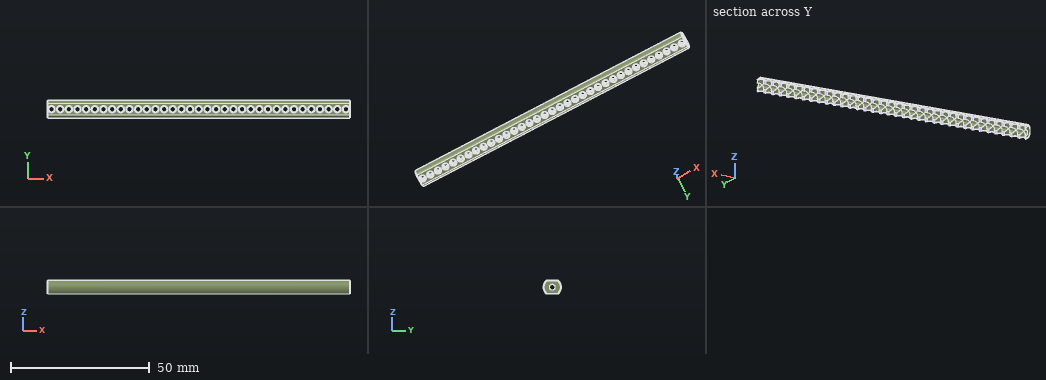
import cadquery as cq
import math

length = 109.4
bar_diameter = 6.6
flat_height = 5.0
end_chamfer = 0.3

hole_diameter = 2.0
hole_count = 35
hole_pitch = length / hole_count
hole_chamfer = 0.3


def flatted_bar():
    """Bar along X with round sides and top and bottom flats, both end outlines chamfered."""
    radius = bar_diameter / 2
    half_height = flat_height / 2
    flat_half_width = math.sqrt(radius**2 - half_height**2)
    profile = (
        cq.Workplane("YZ")
        .moveTo(-flat_half_width, -half_height)
        .lineTo(flat_half_width, -half_height)
        .threePointArc((radius, 0), (flat_half_width, half_height))
        .lineTo(-flat_half_width, half_height)
        .threePointArc((-radius, 0), (-flat_half_width, -half_height))
        .close()
    )
    return profile.extrude(length).faces("<X or >X").chamfer(end_chamfer)


def axial_bore():
    """Bore through the full length of the bar."""
    return cq.Workplane("YZ").circle(hole_diameter / 2).extrude(length)


def cross_hole():
    """Vertical hole through both flats, centred on the origin, with chamfered mouths."""
    mid_height = flat_height / 2
    radius = hole_diameter / 2
    mouth_radius = radius + hole_chamfer
    chamfer_start = mid_height - hole_chamfer
    return (
        cq.Workplane("XZ")
        .moveTo(0, -mid_height)
        .lineTo(mouth_radius, -mid_height)
        .lineTo(radius, -chamfer_start)
        .lineTo(radius, chamfer_start)
        .lineTo(mouth_radius, mid_height)
        .lineTo(0, mid_height)
        .close()
        .revolve(360, (0, 0, 0), (0, 1, 0))
    )


result = flatted_bar().cut(axial_bore())
for index in range(hole_count):
    hole_x = (index + 0.5) * hole_pitch
    result = result.cut(cross_hole().translate((hole_x, 0, 0)))